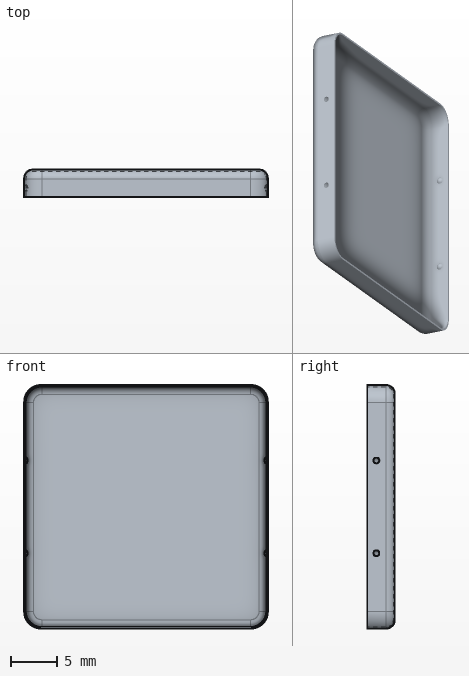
import cadquery as cq

SIDE = 26.3
DEPTH = 3.0
WALL = 0.2
CORNER_RADIUS = 1.9
FLOOR_EDGE_RADIUS = 1.0

DIMPLE_RADIUS = 0.3
SNAP_SHELL = 0.1
BUMP_RADIUS = DIMPLE_RADIUS + SNAP_SHELL
SNAP_SPACING = 10.0
SNAP_FROM_RIM = 1.0

RIM_Y = -DEPTH / 2
SNAP_Y = RIM_Y + SNAP_FROM_RIM


def rounded_block(inset):
    """Block with rounded corners and back edge, set in from the outer faces but flush at the rim."""
    side = SIDE - 2 * inset
    return (
        cq.Workplane("XZ", origin=(0, RIM_Y, 0))
        .rect(side, side)
        .extrude(-(DEPTH - inset))
        .edges("|Y")
        .fillet(CORNER_RADIUS - inset)
        .faces(">Y")
        .edges()
        .fillet(FLOOR_EDGE_RADIUS - inset)
    )


def snap_domes(radius):
    """Half spheres rising inwards from the outer faces of the two X walls."""
    wall_x = -SIDE / 2
    dome = (
        cq.Workplane("XY", origin=(wall_x, SNAP_Y, 0))
        .moveTo(0, 0)
        .lineTo(radius, 0)
        .radiusArc((0, radius), -radius)
        .close()
        .revolve(360, (0, 0, 0), (1, 0, 0))
    )
    lower = dome.translate((0, 0, -SNAP_SPACING / 2))
    upper = dome.translate((0, 0, SNAP_SPACING / 2))
    left_pair = lower.add(upper).combine()
    return left_pair.add(left_pair.mirror("YZ")).combine()


outer = rounded_block(0)
tray = outer.cut(rounded_block(WALL))
result = tray.union(snap_domes(BUMP_RADIUS)).cut(snap_domes(DIMPLE_RADIUS))